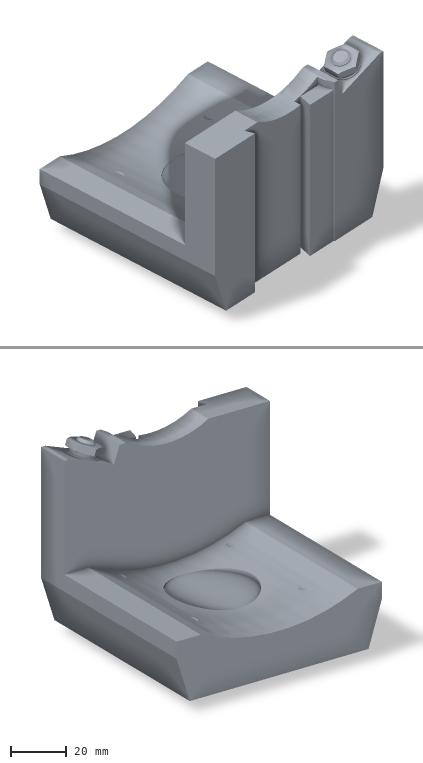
import cadquery as cq
import math

length = 85.0
width = 90.0
wall_start = 70.3
wall_top = 75.0
base_top = 30.0
base_bottom = 4.95
bevel_top = 23.2
bevel_inset = 5.85

saddle_half_width = 34.4
saddle_depth = 7.6
wall_dip_half_width = 18.0
wall_dip_depth = 4.9

center_x = 41.9
boss_diameter = 45.0
recess_diameter = 35.0
recess_floor = 22.3
pin_diameter = 5.9
pin_top = 25.9
pin_spacing_x = 45.0
pin_spacing_y = 51.1

seat_angle = 20.0
seat_start_y = 43.2
seat_corner_y = 23.4

channel_floor_x = 81.0
channel_low_y = -23.8
channel_high_y = 18.9
channel_slant = 1.3
pocket_floor_x = 77.85
pocket_low_y = 5.1
pocket_high_y = channel_high_y - channel_slant

tongue_inner_x = 78.5
tongue_outer_x = 84.6
tongue_inner_y = 7.8
tongue_outer_y = 6.2
tongue_root_y = 19.8
tongue_top = 71.55

nut_from_corner = 9.5
washer_diameter = 10.6
washer_flange_diameter = 11.9
washer_flange_thickness = 0.45
nut_bottom = 1.9
nut_top = 5.1
nut_across_flats = 12.0
nut_face_diameter = 11.5
nut_chamfer = 0.4
stud_diameter = 7.3
stud_top = 6.4
stud_chamfer = 0.9


def side_profile(points):
    """Closed outline in the YZ plane."""
    return cq.Workplane("YZ").polyline(points).close()


def cylinder(diameter, bottom, top):
    """Upright cylinder on the Z axis."""
    return cq.Workplane("XY").workplane(offset=bottom).circle(diameter / 2).extrude(top - bottom)


def trough(half_width, depth, top, start, end):
    """Circular-segment cutter along X, open at its flat top."""
    return (
        cq.Workplane("YZ", origin=(start, 0, top))
        .moveTo(-half_width, 0)
        .threePointArc((0, -depth), (half_width, 0))
        .close()
        .extrude(end - start)
    )


def make_body():
    half = width / 2
    bottom_half = half - bevel_inset
    lower = [(-bottom_half, base_bottom), (bottom_half, base_bottom), (half, bevel_top)]
    base = side_profile(lower + [(half, base_top), (-half, base_top), (-half, bevel_top)])
    wall = side_profile([(-half, base_top), (half, base_top), (half, wall_top), (-half, wall_top)])
    wall_thickness = length - wall_start
    body = base.extrude(length).union(wall.extrude(wall_thickness).translate((wall_start, 0, 0)))
    body = body.cut(trough(saddle_half_width, saddle_depth, base_top, 0, wall_start))
    return body.cut(trough(wall_dip_half_width, wall_dip_depth, wall_top, wall_start, length))


def add_base_features(body):
    body = body.union(cylinder(boss_diameter, 0, base_bottom).translate((center_x, 0, 0)))
    body = body.cut(cylinder(recess_diameter, recess_floor, base_top).translate((center_x, 0, 0)))
    pin = cylinder(pin_diameter, base_bottom, pin_top)
    for side_x in (-1, 1):
        for side_y in (-1, 1):
            x = center_x + side_x * pin_spacing_x / 2
            y = side_y * pin_spacing_y / 2
            body = body.union(pin.translate((x, y, 0)))
    return body


def make_channel():
    slanted = [
        (channel_floor_x, channel_low_y - channel_slant),
        (length, channel_low_y),
        (length, channel_high_y),
        (channel_floor_x, pocket_high_y),
    ]
    channel = cq.Workplane("XY").polyline(slanted).close().extrude(wall_top)
    pocket_corners = [
        (pocket_floor_x, pocket_low_y),
        (channel_floor_x, pocket_low_y),
        (channel_floor_x, pocket_high_y),
        (pocket_floor_x, pocket_high_y),
    ]
    pocket = cq.Workplane("XY").polyline(pocket_corners).close().extrude(wall_top)
    return channel.union(pocket)


def make_tongue():
    outline = [
        (tongue_inner_x, tongue_inner_y),
        (tongue_outer_x, tongue_outer_y),
        (tongue_outer_x, tongue_root_y),
        (tongue_inner_x, tongue_root_y),
    ]
    return (
        cq.Workplane("XY").workplane(offset=base_bottom)
        .polyline(outline).close().extrude(tongue_top - base_bottom)
    )


def make_nut():
    """Washer, chamfered hexagon and stud standing on the XY plane."""
    across_corners = nut_across_flats / math.cos(math.pi / 6)
    hexagon = (
        cq.Workplane("XY").workplane(offset=nut_bottom)
        .polygon(6, across_corners).extrude(nut_top - nut_bottom)
    )
    face_radius = nut_face_diameter / 2
    rim_radius = across_corners / 2
    envelope = (
        cq.Workplane("XZ")
        .polyline([
            (0, nut_bottom),
            (face_radius, nut_bottom),
            (rim_radius, nut_bottom + nut_chamfer),
            (rim_radius, nut_top - nut_chamfer),
            (face_radius, nut_top),
            (0, nut_top),
        ])
        .close()
        .revolve(360, (0, 0, 0), (0, 1, 0))
    )
    washer = cylinder(washer_diameter, 0, nut_bottom)
    washer = washer.union(cylinder(washer_flange_diameter, 0, washer_flange_thickness))
    stud = cylinder(stud_diameter, 0, stud_top).faces(">Z").chamfer(stud_chamfer)
    return hexagon.intersect(envelope).union(washer).union(stud)


tilt = math.radians(seat_angle)
seat_corner_z = wall_top - (seat_start_y - seat_corner_y) * math.tan(tilt)
seat_end_y = seat_corner_y - (wall_top - seat_corner_z) * math.tan(tilt)
seat_cut = (
    side_profile([(seat_start_y, wall_top), (seat_corner_y, seat_corner_z), (seat_end_y, wall_top)])
    .extrude(length)
)
nut_place = (
    (wall_start + length) / 2,
    seat_corner_y + nut_from_corner * math.cos(tilt),
    seat_corner_z + nut_from_corner * math.sin(tilt),
)
nut = make_nut().rotate((0, 0, 0), (1, 0, 0), seat_angle).translate(nut_place)

result = add_base_features(make_body())
result = result.cut(make_channel()).union(make_tongue())
result = result.cut(seat_cut).union(nut)